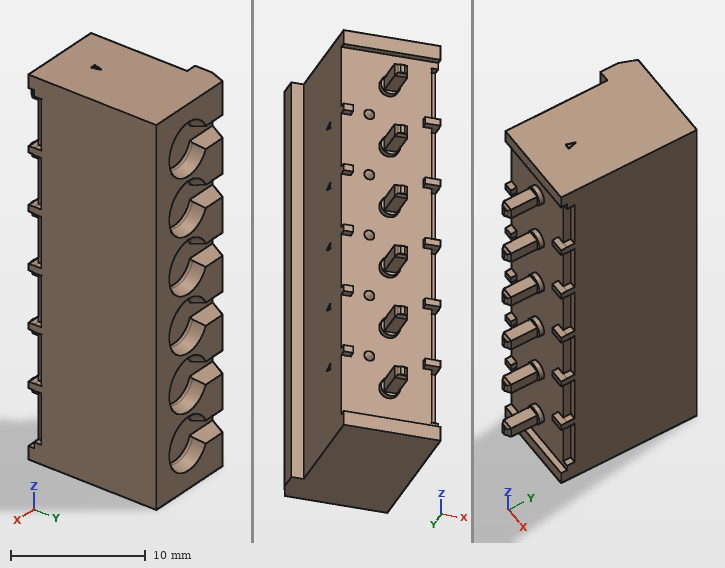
import cadquery as cq

row_length = 33.28
housing_width = 8.6
housing_depth = 12.0
overall_depth = 14.6
pin_count = 6
pitch = 5.1

lip_overhang = 0.95
lip_depth = 3.0
lip_chamfer_across = 0.53
lip_chamfer_along = 1.4

recess_depth = 0.53
flange_thickness = 1.15

tab_base_width = 0.63
tab_tip_width = 0.53
lip_side_tab_length = 0.73
plain_side_tab_length = 1.2

slot_width = 0.53
slot_depth = 0.65
slot_end_margin = 1.7

pin_x = 4.7
pin_thickness = 1.0
collar_radius = 0.75
collar_height = 0.43
tip_length = 0.35
tip_inset = 0.15
tip_point_length = 0.13
tip_point_inset = 0.15

cone_x = 3.15
cone_radius = 0.4
cone_height = 0.3

socket_mouth_radius = 2.33
socket_throat_radius = 2.0
socket_taper_depth = 1.05
socket_depth = 1.33

notch_mouth_width = 2.0
notch_floor_width = 1.3

arrow_tip_y = -8.2
arrow_length = 0.75
arrow_width = 0.43
arrow_engraving = 0.05

half_row = row_length / 2
solder_face_y = -housing_depth
floor_y = solder_face_y + recess_depth
pin_places = [(i - (pin_count - 1) / 2) * pitch for i in range(pin_count)]
gap_places = [z + pitch / 2 for z in pin_places[:-1]]


def box(x_range, y_range, z_range):
    """Axis-aligned box between the given limits."""
    sizes = [high - low for low, high in (x_range, y_range, z_range)]
    corner = (x_range[0], y_range[0], z_range[0])
    return cq.Workplane("XY").box(*sizes, centered=False).translate(corner)


def revolved(profile, x, y, z):
    """Turn a (radius, distance along Y) profile about a Y axis through (x, y, z)."""
    return cq.Workplane("XY").polyline(profile).close().revolve(360, (0, 0), (0, 1)).translate((x, y, z))


def tapered_bar(y_range, widths, length):
    """Bar along X from x = 0, its width in Z changing between two places along Y."""
    start_y, end_y = y_range
    start_half, end_half = (width / 2 for width in widths)
    section = [(start_y, -start_half), (start_y, start_half), (end_y, end_half), (end_y, -end_half)]
    return cq.Workplane("YZ").polyline(section).close().extrude(length)


def make_housing():
    """Body with the lip along one side and the recess in its solder face."""
    outline = [
        (lip_chamfer_across, 0),
        (housing_width, 0),
        (housing_width, solder_face_y),
        (lip_overhang, solder_face_y),
        (lip_overhang, -lip_depth),
        (0, -lip_depth),
        (0, -lip_chamfer_along),
    ]
    body = cq.Workplane("XY").polyline(outline).close().extrude(half_row, both=True)
    recess_end = half_row - flange_thickness
    return body.cut(box((0, housing_width), (solder_face_y, floor_y), (-recess_end, recess_end)))


def make_slot(z):
    """Relief slot at one pin, ending at the neighbouring tabs or near the flange."""
    limit = half_row - slot_end_margin
    reach = (pitch - tab_base_width) / 2
    low = -limit if z == pin_places[0] else z - reach
    high = limit if z == pin_places[-1] else z + reach
    return box((housing_width - slot_width, housing_width), (floor_y, floor_y + slot_depth), (low, high))


def make_tab(start_x, length, z):
    """Standoff tab that narrows from the recess floor to the solder face."""
    tab = tapered_bar((floor_y, solder_face_y), (tab_base_width, tab_tip_width), length)
    return tab.translate((start_x, 0, z))


def make_collar(z):
    """Round collar at the foot of one pin."""
    return cq.Workplane("XZ").circle(collar_radius).extrude(collar_height).translate((pin_x, floor_y, z))


def make_pin(z):
    """Square pin with a tapered end that narrows further across X at the point."""
    inset_thickness = pin_thickness - 2 * tip_inset
    point_thickness = inset_thickness - 2 * tip_point_inset
    shank_length = overall_depth - tip_length + floor_y
    shank = cq.Workplane("XZ").rect(pin_thickness, pin_thickness).extrude(shank_length)
    taper = (
        shank.faces("<Y").workplane().rect(pin_thickness, pin_thickness)
        .workplane(offset=tip_length - tip_point_length).rect(inset_thickness, inset_thickness)
        .loft(combine=True)
    )
    pin = (
        taper.faces("<Y").workplane().rect(inset_thickness, inset_thickness)
        .workplane(offset=tip_point_length).rect(point_thickness, inset_thickness)
        .loft(combine=True)
    )
    return pin.translate((pin_x, floor_y, z))


def make_cone(z):
    """Locating cone with its point towards the solder side."""
    return revolved([(0, 0), (cone_radius, 0), (0, -cone_height)], cone_x, floor_y, z)


def make_socket(z):
    """Round socket whose mouth tapers into a short straight throat."""
    profile = [
        (0, 0),
        (socket_mouth_radius, 0),
        (socket_throat_radius, -socket_taper_depth),
        (socket_throat_radius, -socket_depth),
        (0, -socket_depth),
    ]
    return revolved(profile, pin_x, 0, z)


def make_notch(z):
    """Notch through the lip that runs on into the socket at one pin."""
    notch = tapered_bar((0, -socket_depth), (notch_mouth_width, notch_floor_width), pin_x)
    return notch.translate((0, 0, z))


def make_arrow(plane):
    """Arrow cutter lying on the origin of a plane whose first or second axis is Y."""
    base_y = arrow_tip_y - arrow_length
    points = [(arrow_tip_y, 0), (base_y, arrow_width / 2), (base_y, -arrow_width / 2)]
    if plane == "XY":
        points = [(across, along) for along, across in points]
    return cq.Workplane(plane).polyline(points).close().extrude(arrow_engraving)


result = make_housing()

for z in pin_places:
    result = result.cut(make_socket(z)).cut(make_notch(z)).cut(make_slot(z))
    result = result.union(make_collar(z)).union(make_pin(z))

for z in gap_places:
    result = result.union(make_tab(lip_overhang, lip_side_tab_length, z))
    result = result.union(make_tab(housing_width - plain_side_tab_length, plain_side_tab_length, z))
    result = result.union(make_cone(z))
    result = result.cut(make_arrow("YZ").translate((lip_overhang, 0, z)))

result = result.cut(make_arrow("XY").translate((pin_x, 0, half_row - arrow_engraving)))